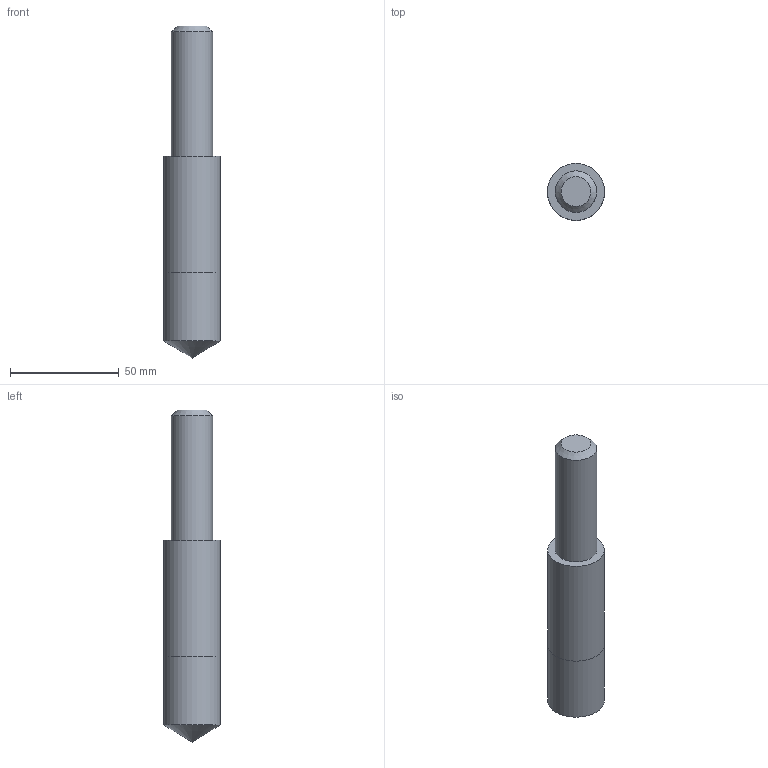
import cadquery as cq
import math

overall_length = 152.4
body_diameter = 26.17
stem_diameter = 19.05

stem_length = 59.8
chamfer_size = 2.7

point_angle = 118.0
tip_length = 39.3

body_radius = body_diameter / 2
stem_radius = stem_diameter / 2
stem_end_radius = stem_radius - chamfer_size
point_height = body_radius / math.tan(math.radians(point_angle / 2))
shoulder_z = overall_length - stem_length
chamfer_z = overall_length - chamfer_size


def revolve_about_z(profile):
    """Turn a closed outline of (radius, z) points into a solid about the Z axis."""
    outline = cq.Workplane("XZ").polyline(profile).close()
    return outline.revolve(360, (0, 0), (0, 1))


def make_shank():
    """Stepped round shank: full-diameter body, shoulder and chamfered stem."""
    return revolve_about_z([
        (0, tip_length),
        (body_radius, tip_length),
        (body_radius, shoulder_z),
        (stem_radius, shoulder_z),
        (stem_radius, chamfer_z),
        (stem_end_radius, overall_length),
        (0, overall_length),
    ])


def make_tip():
    """Round tip, butted against the shank and ending in a conical point."""
    return revolve_about_z([
        (0, 0),
        (body_radius, point_height),
        (body_radius, tip_length),
        (0, tip_length),
    ])


shank = make_shank()
tip = make_tip()

result = cq.Compound.makeCompound([shank.val(), tip.val()])